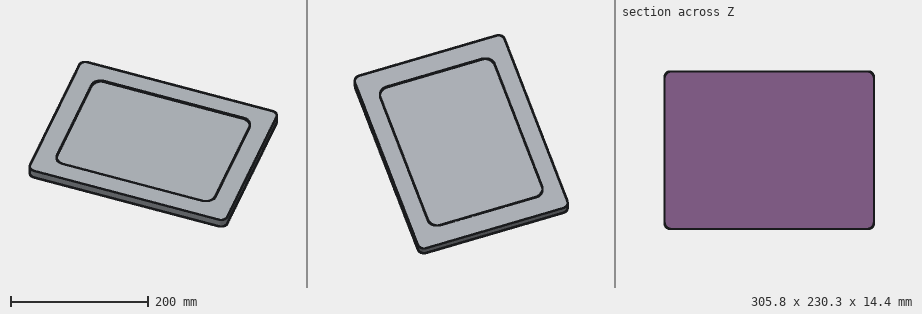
import cadquery as cq

plate_length = 305.78
plate_width = 230.31
plate_thickness = 14.45
plate_corner_radius = 9.5

recess_length = 245.0
recess_width = 175.8
recess_corner_radius = 14.5
recess_depth = 2.25


def rounded_block(length, width, height, corner_radius):
    """Block standing on Z = 0, centred in X and Y, with rounded vertical edges."""
    block = cq.Workplane("XY").box(length, width, height, centered=(True, True, False))
    return block.edges("|Z").fillet(corner_radius)


plate = rounded_block(plate_length, plate_width, plate_thickness, plate_corner_radius)

recess_floor = plate_thickness - recess_depth
recess = rounded_block(recess_length, recess_width, recess_depth, recess_corner_radius)

result = plate.cut(recess.translate((0, 0, recess_floor)))